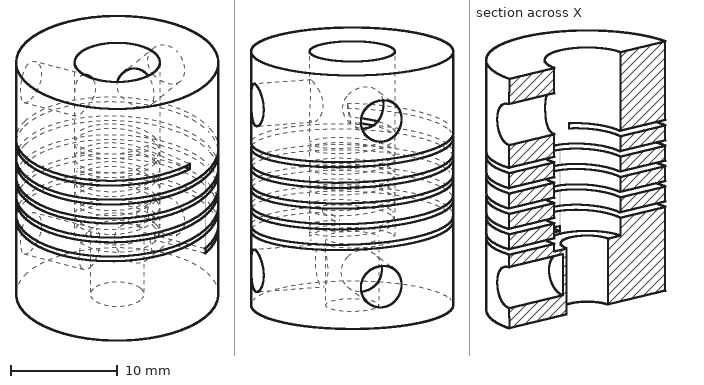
import cadquery as cq

body_diameter = 19.0
body_length = 24.5
body_radius = body_diameter / 2

lower_bore_diameter = 5.0
upper_bore_diameter = 8.0
upper_bore_depth = 18.0

outer_clearance = 0.5

screw_hole_diameter = 4.0
lower_screw_height = 4.0
upper_screw_height = 20.0
screw_hole_floor_radius = 3.0

slot_pitch = 2.0
slot_turns = 4.96
slot_width = 0.5
slot_inner_radius = 3.5
slot_rise = slot_pitch * slot_turns
slot_start_height = 7.0


def make_bored_body():
    """Cylinder along Z with a through bore that widens in the upper part."""
    body = cq.Workplane("XY").circle(body_radius).extrude(body_length)
    lower_bore = cq.Workplane("XY").circle(lower_bore_diameter / 2).extrude(body_length)
    upper_bore = (
        cq.Workplane("XY")
        .workplane(offset=body_length - upper_bore_depth)
        .circle(upper_bore_diameter / 2)
        .extrude(upper_bore_depth)
    )
    return body.cut(lower_bore).cut(upper_bore)


def make_screw_hole(direction, height):
    """Flat-bottomed radial hole entering from the outside along direction."""
    start = cq.Vector(0, 0, height) + direction * screw_hole_floor_radius
    length = body_radius - screw_hole_floor_radius + outer_clearance
    return cq.Solid.makeCylinder(screw_hole_diameter / 2, length, start, direction)


def make_helical_slot():
    """Rectangular profile swept along a right-handed helix that starts on +X."""
    path = cq.Wire.makeHelix(slot_pitch, slot_rise, body_radius)
    outer_radius = body_radius + outer_clearance
    profile_center = (slot_inner_radius + outer_radius) / 2
    return (
        cq.Workplane("XZ")
        .center(profile_center, 0)
        .rect(outer_radius - slot_inner_radius, slot_width)
        .sweep(cq.Workplane(path), isFrenet=True)
        .translate((0, 0, slot_start_height))
    )


result = make_bored_body().cut(make_helical_slot())
for hole_height in (lower_screw_height, upper_screw_height):
    for hole_direction in (cq.Vector(-1, 0, 0), cq.Vector(0, 1, 0)):
        result = result.cut(cq.Workplane(make_screw_hole(hole_direction, hole_height)))